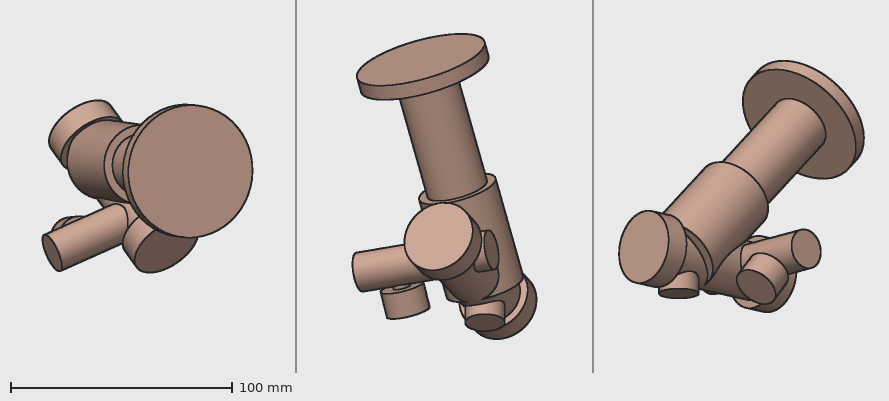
import cadquery as cq
import math


pipe_diameter = 26
collar_diameter = 33.25
collar_length = 11
pipe_left_x = -21.5
pipe_right_x = 57

bonnet_tilt = 45
bonnet_diameter = 36
bonnet_length = 48
stem_diameter = 28
wheel_diameter = 60
wheel_thickness = 7
wheel_outer_distance = 111.42

plug_diameter = 18
plug_reach = 18

cross_diameter = 18
cross_x = 35
cross_front_y = -47
cross_back_y = 17

cap_tilt = 40
cap_y = -29
cap_diameter = 20
cap_inner_distance = 10
cap_outer_distance = 22
pin_diameter = 8


def cylinder(diameter, origin, direction, start, end):
    """Solid cylinder between two distances along an axis of unit direction."""
    axis = cq.Vector(*direction)
    base = cq.Vector(*origin) + axis * start
    return cq.Workplane(obj=cq.Solid.makeCylinder(diameter / 2, end - start, base, axis))


def make_main_pipe():
    center = (0, 0, 0)
    along_x = (1, 0, 0)
    pipe = cylinder(pipe_diameter, center, along_x, pipe_left_x, pipe_right_x)
    for collar_start in (pipe_left_x, pipe_right_x - collar_length):
        collar_end = collar_start + collar_length
        pipe = pipe.union(cylinder(collar_diameter, center, along_x, collar_start, collar_end))
    return pipe


def make_bonnet():
    center = (0, 0, 0)
    tilt = math.radians(bonnet_tilt)
    up_right = (math.cos(tilt), 0, math.sin(tilt))
    wheel_inner_distance = wheel_outer_distance - wheel_thickness
    body = cylinder(bonnet_diameter, center, up_right, 0, bonnet_length)
    stem = cylinder(stem_diameter, center, up_right, bonnet_length, wheel_inner_distance)
    wheel = cylinder(wheel_diameter, center, up_right, wheel_inner_distance, wheel_outer_distance)
    return body.union(stem).union(wheel)


def make_drain_plug():
    return cylinder(plug_diameter, (0, 0, 0), (0, 0, -1), 0, plug_reach)


def make_cross_pipe():
    return cylinder(cross_diameter, (cross_x, 0, 0), (0, 1, 0), cross_front_y, cross_back_y)


def make_inclined_cap():
    center = (cross_x, cap_y, 0)
    tilt = math.radians(cap_tilt)
    down_left = (-math.sin(tilt), 0, -math.cos(tilt))
    pin = cylinder(pin_diameter, center, down_left, 0, cap_inner_distance)
    cap = cylinder(cap_diameter, center, down_left, cap_inner_distance, cap_outer_distance)
    return pin.union(cap)


result = (
    make_main_pipe()
    .union(make_bonnet())
    .union(make_drain_plug())
    .union(make_cross_pipe())
    .union(make_inclined_cap())
)